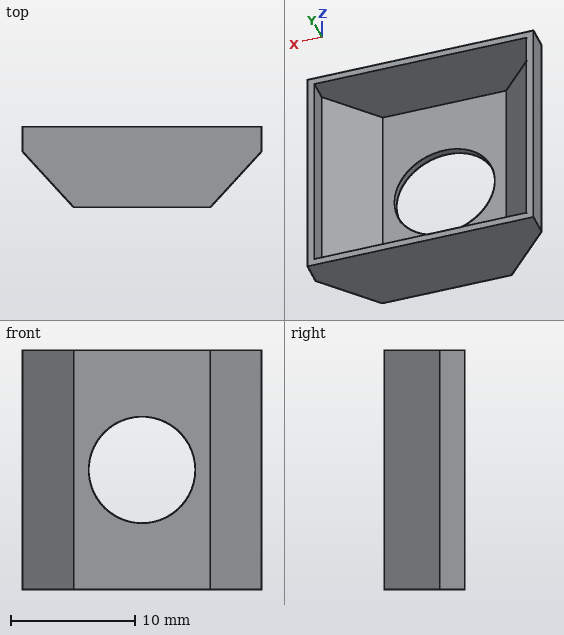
import cadquery as cq

width = 19.3
height = 19.3
depth = 6.5

front_face_width = 11.04
straight_side_depth = 2.0

wall_thickness = 0.6
hole_diameter = 8.57

front_y = -depth / 2
back_y = depth / 2
shoulder_y = back_y - straight_side_depth

body = (
    cq.Workplane("XY")
    .polyline([
        (-front_face_width / 2, front_y),
        (front_face_width / 2, front_y),
        (width / 2, shoulder_y),
        (width / 2, back_y),
        (-width / 2, back_y),
        (-width / 2, shoulder_y),
    ])
    .close()
    .extrude(height / 2, both=True)
)

shell = body.faces(">Y").shell(-wall_thickness, kind="intersection")

hole = cq.Workplane("XZ").circle(hole_diameter / 2).extrude(depth, both=True)

result = shell.cut(hole)